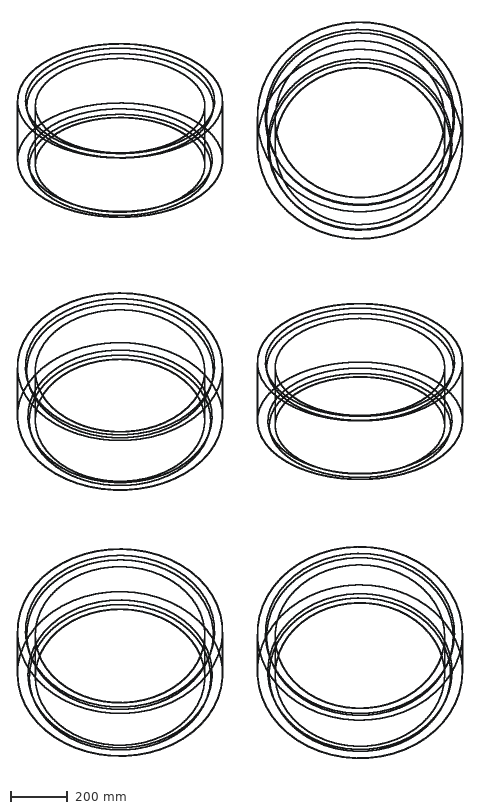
import cadquery as cq

outer_diameter = 726.0
bore_diameter = 600.0
total_height = 273.0

spigot_height = 20.0
spigot_root_diameter = 652.0
spigot_tip_diameter = 642.0

socket_depth = 20.0
socket_mouth_diameter = 669.5
socket_floor_diameter = 660.0

socket_floor_z = total_height - socket_depth

section = [
    (bore_diameter / 2, 0),
    (spigot_tip_diameter / 2, 0),
    (spigot_root_diameter / 2, spigot_height),
    (outer_diameter / 2, spigot_height),
    (outer_diameter / 2, total_height),
    (socket_mouth_diameter / 2, total_height),
    (socket_floor_diameter / 2, socket_floor_z),
    (bore_diameter / 2, socket_floor_z),
]

result = cq.Workplane("XZ").polyline(section).close().revolve(360, (0, 0), (0, 1))